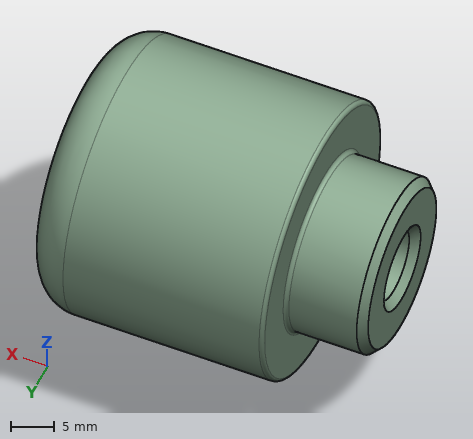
import cadquery as cq

overall_length = 40.0
shank_length = 10.0
shank_diameter = 21.5
shank_chamfer = 1.0
body_diameter = 34.0
bore_diameter = 8.5
bore_chamfer = 1.0
nose_radius = 5.0
edge_radius = 0.5
root_radius = 0.5

body_length = overall_length - shank_length


def cylinder(start_x, length, diameter):
    """Solid cylinder along +X, starting at start_x."""
    return cq.Workplane("YZ", origin=(start_x, 0, 0)).circle(diameter / 2).extrude(length)


def make_shank():
    shank = cylinder(0, shank_length, shank_diameter)
    return shank.faces("<X").chamfer(shank_chamfer)


def make_body():
    body = cylinder(shank_length, body_length, body_diameter)
    body = body.faces(">X").edges().fillet(nose_radius)
    return body.faces("<X").edges().fillet(edge_radius)


def fillet_root(part):
    """Round the inner corner between the shank and the shoulder."""
    root_edge = cq.selectors.RadiusNthSelector(0)
    return part.faces("|X").faces("<X[1]").edges(root_edge).fillet(root_radius)


def cut_bore(part):
    """Through bore, chamfered where it opens on the shank's end."""
    part = part.cut(cylinder(0, overall_length, bore_diameter))
    bore_mouth = cq.selectors.RadiusNthSelector(0)
    return part.faces("<X").edges(bore_mouth).chamfer(bore_chamfer)


result = cut_bore(fillet_root(make_shank().union(make_body())))